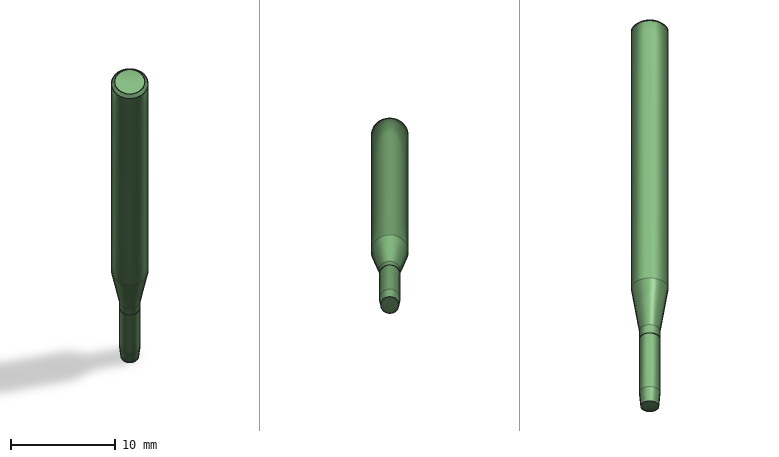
import cadquery as cq

total_length = 45.0
shank_diameter = 3.5
top_chamfer = 0.3

neck_diameter = 2.0
tip_diameter = 1.7
tip_taper_height = 1.6
joint_height = 8.0
neck_length = 1.0
cone_length = 5.0

shank_radius = shank_diameter / 2
neck_radius = neck_diameter / 2
tip_radius = tip_diameter / 2
cone_start = joint_height + neck_length
cone_end = cone_start + cone_length


def turned_body(outline):
    """Revolve an outline of (radius, height) points, closed along the axis, about Z."""
    return cq.Workplane("XZ").polyline(outline).close().revolve(360, (0, 0), (0, 1))


def make_shank():
    """Chamfered cylinder that narrows through a cone to a short neck."""
    return turned_body([
        (0, joint_height),
        (neck_radius, joint_height),
        (neck_radius, cone_start),
        (shank_radius, cone_end),
        (shank_radius, total_length - top_chamfer),
        (shank_radius - top_chamfer, total_length),
        (0, total_length),
    ])


def make_tip():
    """Slender cylinder with a slightly tapered lower end."""
    return turned_body([
        (0, 0),
        (tip_radius, 0),
        (neck_radius, tip_taper_height),
        (neck_radius, joint_height),
        (0, joint_height),
    ])


shank = make_shank()
tip = make_tip()
result = cq.Compound.makeCompound([shank.val(), tip.val()])